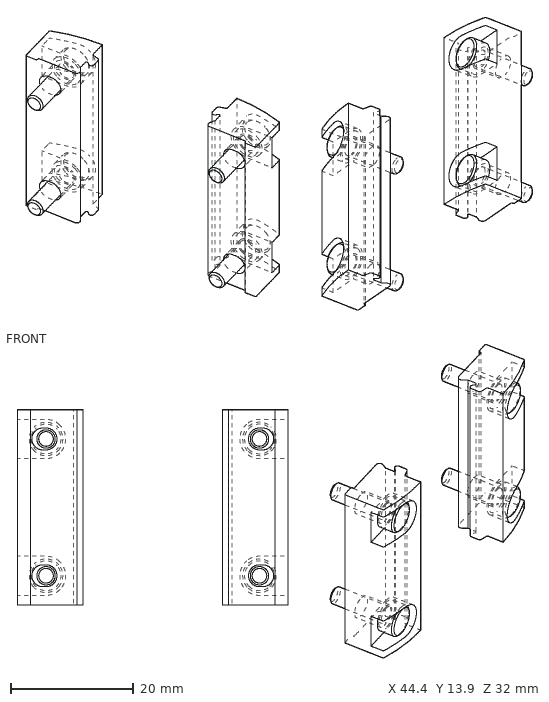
import cadquery as cq
import math

overall_width = 44.4
jaw_length = 32.0
outer_x = -overall_width / 2

body_width = 9.25
jaw_height = 9.0
crown_radius = 28.4
lip_width = 2.18
lip_height = 0.5
edge_round = 0.2
lip_round = 0.2
step_round = 0.15

toe_reach = 9.8
toe_radius = 0.6
toe_slope = 60.0

rib_reach = 10.8
rib_root_top = 5.95
rib_slope = 15.0
rib_corner_round = 0.5
rib_root_round = 0.35
hook_radius = 0.5
hook_bottom = 3.4
groove_radius = 0.245

shank_diameter = 3.0
shank_length = 10.0
tip_chamfer = 0.3
head_diameter = 5.5
head_height = 3.0
head_chamfer = 0.3
screw_inset = 4.7
screw_end_inset = 4.8
seat_height = 5.1

slot_width = 3.6
slot_travel = 0.55
pocket_width = 6.45

screw_x = outer_x + screw_inset
screw_levels = [side * (jaw_length / 2 - screw_end_inset) for side in (-1, 1)]


def at(inward, up):
    """Point of the left jaw's cross-section."""
    return (outer_x + inward, up)


def crown_height(inward):
    """Height of the curved top at a distance inward from the outer wall."""
    run = body_width - inward
    return jaw_height - crown_radius + math.sqrt(crown_radius ** 2 - run ** 2)


outer_foot = at(0, 0)
lip_edge = at(lip_width, 0)
lip_root = at(lip_width, lip_height)
rib_tip = at(rib_reach, rib_root_top - (rib_reach - body_width) * math.tan(math.radians(rib_slope)))
rib_root = at(body_width, rib_root_top)
crown_corner = at(0, crown_height(0))


def jaw_profile():
    """Closed cross-section of the left jaw, sharp at the corners that get rounded."""
    toe_angle = math.radians(toe_slope)
    toe_x = toe_reach - toe_radius
    toe_y = lip_height + toe_radius
    toe_end_x = toe_x + toe_radius * math.sin(toe_angle)
    toe_end_y = toe_y + toe_radius * math.cos(toe_angle)
    hook_x = rib_reach - hook_radius
    hook_y = hook_bottom + hook_radius
    groove_x = body_width + groove_radius
    groove_y = hook_y + (hook_x - groove_x) - math.sqrt(2) * (hook_radius + groove_radius)
    diagonal = math.sqrt(0.5)
    mid_width = body_width / 2
    return (
        cq.Workplane("XY")
        .moveTo(*outer_foot)
        .lineTo(*lip_edge)
        .lineTo(*lip_root)
        .lineTo(*at(toe_x, lip_height))
        .threePointArc(at(toe_reach, toe_y), at(toe_end_x, toe_end_y))
        .lineTo(*at(body_width, toe_end_y + (toe_end_x - body_width) * math.tan(toe_angle)))
        .lineTo(*at(body_width, groove_y))
        .threePointArc(
            at(groove_x, groove_y + groove_radius),
            at(groove_x + groove_radius * diagonal, groove_y + groove_radius * diagonal),
        )
        .lineTo(*at(hook_x - hook_radius * diagonal, hook_y - hook_radius * diagonal))
        .threePointArc(at(hook_x, hook_bottom), at(rib_reach, hook_y))
        .lineTo(*rib_tip)
        .lineTo(*rib_root)
        .lineTo(*at(body_width, jaw_height))
        .threePointArc(at(mid_width, crown_height(mid_width)), crown_corner)
        .close()
    )


def round_edge(solid, corner, radius):
    """Round the long edge at a corner of the cross-section."""
    edge = cq.selectors.NearestToPointSelector((*corner, 0))
    return solid.edges("|Z").edges(edge).fillet(radius)


def make_jaw():
    """Left jaw with its rounded edges and the openings for both screws."""
    jaw = jaw_profile().extrude(jaw_length / 2, both=True)
    jaw = round_edge(jaw, outer_foot, edge_round)
    jaw = round_edge(jaw, crown_corner, edge_round)
    jaw = round_edge(jaw, lip_edge, lip_round)
    jaw = round_edge(jaw, lip_root, step_round)
    jaw = round_edge(jaw, rib_tip, rib_corner_round)
    jaw = round_edge(jaw, rib_root, rib_root_round)
    for level in screw_levels:
        jaw = jaw.cut(screw_slot(level)).cut(head_pocket(level))
    return jaw


def screw_slot(level):
    """Through slot that lets the screw shift towards the outer wall."""
    return (
        cq.Workplane("XZ")
        .center(screw_x - slot_travel / 2, level)
        .slot2D(slot_width + slot_travel, slot_width)
        .extrude(-jaw_height)
    )


def head_pocket(level):
    """Pocket above the seat: round inner end, open through the outer wall."""
    depth = jaw_height - seat_height
    round_end = (
        cq.Workplane("XZ", origin=(screw_x, seat_height, level))
        .circle(pocket_width / 2)
        .extrude(-depth)
    )
    opening = (
        cq.Workplane("XZ", origin=(screw_x - screw_inset / 2, seat_height, level))
        .rect(screw_inset, pocket_width)
        .extrude(-depth)
    )
    return round_end.union(opening)


def make_screw(level):
    """Cap screw of the left jaw, seated in the pocket at the given level."""
    shank = (
        cq.Workplane("XZ", origin=(screw_x, seat_height, level))
        .circle(shank_diameter / 2)
        .extrude(shank_length)
        .faces("<Y")
        .chamfer(tip_chamfer)
    )
    head = (
        cq.Workplane("XZ", origin=(screw_x, seat_height, level))
        .circle(head_diameter / 2)
        .extrude(-head_height)
        .faces(">Y")
        .edges()
        .chamfer(head_chamfer)
    )
    return shank.union(head)


left_bodies = [make_jaw()] + [make_screw(level) for level in screw_levels]
right_bodies = [body.mirror("YZ") for body in left_bodies]

result = cq.Compound.makeCompound([body.val() for body in left_bodies + right_bodies])